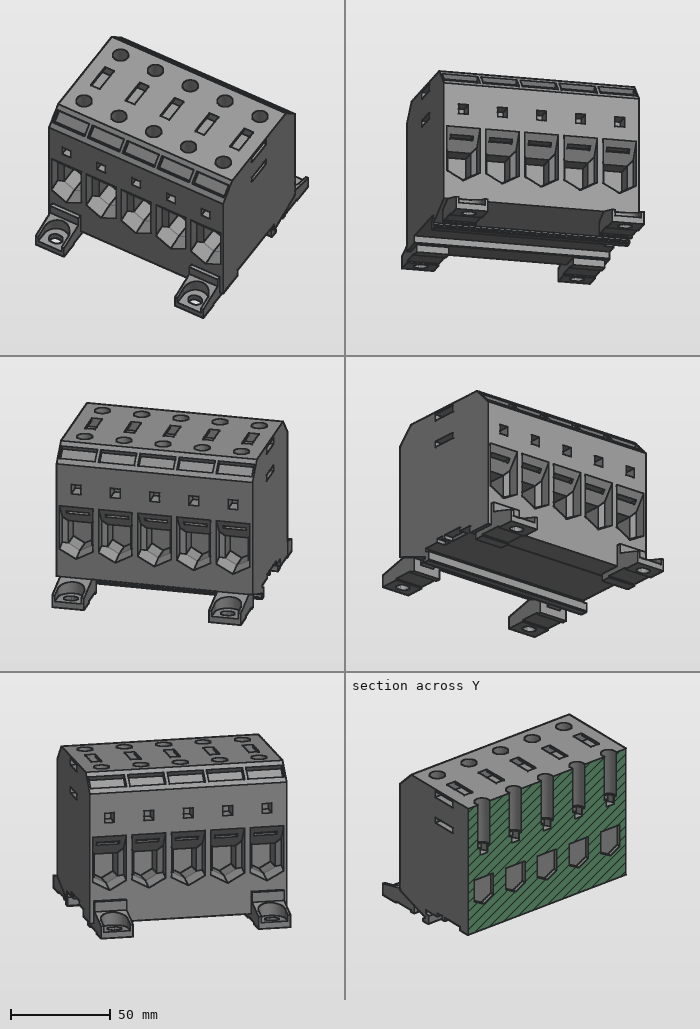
import cadquery as cq


pole_count = 5
pole_pitch = 20.3
length = pole_count * pole_pitch
half_width = 35.4
height = 80.0
top_chamfer = 9.0
base_z = 3.8

seat_z = 7.7
seat_y_min = -20.8
seat_edge_bevel = 0.4
hook_inner_y = 12.2
hook_root_y = 14.8
hook_neck_y = 15.6
hook_neck_top_z = 3.5
hook_neck_bottom_z = 2.5
hook_tip_y = 17.0
hook_tip_z = 1.8
hook_bottom_z = 0.45
hook_edge_bevel = 0.5
hook_shoulder_z = 5.3
hook_root_z = 6.2
flank_z = 10.3

seat_notches = [(-12.7, -0.6), (1.5, 5.4)]
seat_notch_height = 2.1
seat_notch_depth = 5.0

foot_width = 16.5
foot_poles = [0, pole_count - 1]
foot_end_y = 51.7
foot_end_z = 6.4
foot_relief_depth = 0.85
front_foot_inner_y = 23.0
front_foot_relief = (28.5, 41.5)
rear_foot_inner_y = 26.4
rear_foot_relief = (29.1, 40.7)
upstand_y = 37.5
upstand_z = 15.4
gusset_width = 8.0
gusset_tip_y = 23.5
gusset_tip_z = 5.8
gusset_low_z = 4.5
screw_seat_z = 3.3
screw_seat_radius = 6.85
screw_from_end = 6.0
screw_slot_length = 7.2
screw_slot_width = 5.8

bridge_slot_width = 14.2
bridge_slots = [(75.3, 3.5), (60.75, 3.1)]

top_window_width = 5.3
top_window_depth = height - bridge_slots[0][0]
screw_hole_y = 18.0
screw_hole_diameter = 7.9
screw_hole_depth = 25.0
hex_across_corners = 6.1
hex_depth = 4.0

label_length = 18.5
label_width = 6.8
label_depth = 2.65
label_draft = 0.5
label_mid_z = 75.6

test_hole_size = 5.0
test_hole_z = 58.05
test_hole_depth = 8.0

entry_width = 17.3
entry_top_z = 48.5
entry_apex_z = 20.5
entry_v_slope = 0.543
mouth_depth = 8.0
mouth_straight_depth = 6.0
chamber_width = 12.0
chamber_top_z = 37.6
chamber_apex_z = 22.3
chamber_depth = 18.0
entry_slit_width = 11.7
entry_slit_height = 1.8
entry_slit_z = 44.1
entry_slit_depth = 8.0


def pole_center(index):
    return (index + 0.5) * pole_pitch - length / 2


def box(x_size, y_range, z_range, x_center=0.0):
    y_low, y_high = y_range
    z_low, z_high = z_range
    return (
        cq.Workplane("XY")
        .box(x_size, y_high - y_low, z_high - z_low)
        .translate((x_center, (y_low + y_high) / 2, (z_low + z_high) / 2))
    )


def extrude_along_x(points, x_size, x_center=0.0):
    """Extrude a (Y, Z) outline along X, centred on x_center."""
    return (
        cq.Workplane("YZ")
        .polyline(points)
        .close()
        .extrude(x_size / 2, both=True)
        .translate((x_center, 0, 0))
    )


def on_both_sides(front):
    """Return a front-side tool together with its mirror on the +Y side."""
    return front.add(front.mirror("XZ").vals()).combine()


def housing():
    chamfer_y = half_width - top_chamfer
    chamfer_z = height - top_chamfer
    outline = [
        (-half_width, base_z),
        (-half_width, chamfer_z),
        (-chamfer_y, height),
        (chamfer_y, height),
        (half_width, chamfer_z),
        (half_width, flank_z),
        (hook_neck_y, hook_neck_top_z),
        (hook_neck_y, hook_neck_bottom_z),
        (hook_tip_y, hook_tip_z),
        (hook_tip_y, hook_bottom_z + hook_edge_bevel),
        (hook_tip_y - hook_edge_bevel, hook_bottom_z),
        (hook_inner_y + hook_edge_bevel, hook_bottom_z),
        (hook_inner_y, hook_bottom_z + hook_edge_bevel),
        (hook_inner_y, hook_shoulder_z),
        (hook_root_y, hook_root_z),
        (hook_root_y, seat_z),
        (seat_y_min, seat_z),
        (seat_y_min, base_z + seat_edge_bevel),
        (seat_y_min - seat_edge_bevel, base_z),
    ]
    return extrude_along_x(outline, length)


def front_foot(x):
    outline = [
        (-front_foot_inner_y, 0),
        (-front_foot_inner_y, base_z),
        (-half_width, base_z),
        (-half_width, upstand_z),
        (-upstand_y, upstand_z),
        (-upstand_y, flank_z),
        (-foot_end_y, foot_end_z),
        (-foot_end_y, 0),
    ]
    foot = extrude_along_x(outline, foot_width, x)
    near, far = front_foot_relief
    return foot.cut(box(foot_width, (-far, -near), (0, foot_relief_depth), x))


def rear_foot(x):
    """Rear foot under the sloping flank, with a narrower gusset on its inner end."""
    flank_slope = (flank_z - hook_neck_top_z) / (half_width - hook_neck_y)

    def flank_at(y):
        return flank_z - flank_slope * (half_width - y)

    foot_outline = [
        (foot_end_y, 0),
        (foot_end_y, foot_end_z),
        (half_width, flank_z),
        (rear_foot_inner_y, flank_at(rear_foot_inner_y)),
        (rear_foot_inner_y, 0),
    ]
    gusset_outline = [
        (rear_foot_inner_y, gusset_low_z),
        (rear_foot_inner_y, flank_at(rear_foot_inner_y)),
        (gusset_tip_y, flank_at(gusset_tip_y)),
        (gusset_tip_y, gusset_tip_z),
    ]
    gusset = extrude_along_x(gusset_outline, gusset_width, x)
    foot = extrude_along_x(foot_outline, foot_width, x).union(gusset)
    near, far = rear_foot_relief
    return foot.cut(box(foot_width, (near, far), (0, foot_relief_depth), x))


def foot_screw_seats(x):
    """Open-ended round seat and elongated screw hole in both feet of a pole."""
    seat_y = -foot_end_y + screw_from_end
    seat_height = flank_z - screw_seat_z
    seat = (
        cq.Workplane("XY", origin=(x, seat_y, screw_seat_z))
        .circle(screw_seat_radius)
        .extrude(seat_height)
    )
    seat_opening = box(2 * screw_seat_radius, (-foot_end_y, seat_y), (screw_seat_z, flank_z), x)
    screw_hole = (
        cq.Workplane("XY", origin=(x, seat_y, 0))
        .slot2D(screw_slot_length, screw_slot_width)
        .extrude(flank_z)
    )
    return on_both_sides(seat.union(seat_opening).union(screw_hole))


def seat_notch(y_range):
    notch_center = (seat_notch_depth - length) / 2
    return box(seat_notch_depth, y_range, (seat_z, seat_z + seat_notch_height), notch_center)


def bridge_slot(bottom_z, slot_height):
    half_slot = bridge_slot_width / 2
    return box(length, (-half_slot, half_slot), (bottom_z, bottom_z + slot_height))


def top_window(x):
    half_window = bridge_slot_width / 2
    return box(top_window_width, (-half_window, half_window), (height - top_window_depth, height), x)


def screw_holes(x):
    hole = (
        cq.Workplane("XY", origin=(x, -screw_hole_y, height))
        .circle(screw_hole_diameter / 2)
        .extrude(-screw_hole_depth)
        .faces("<Z")
        .workplane()
        .polygon(6, hex_across_corners)
        .extrude(hex_depth)
    )
    return on_both_sides(hole)


def label_pockets(x):
    """Pockets sunk into the 45 degree chamfer faces, narrowing towards the floor."""
    label_mid_y = -half_width + label_mid_z - (height - top_chamfer)
    half_mouth = label_width / 2
    half_floor = half_mouth - label_draft
    outline = [
        (-half_mouth, label_depth),
        (-half_mouth, 0),
        (-half_floor, -label_depth),
        (half_floor, -label_depth),
        (half_mouth, 0),
        (half_mouth, label_depth),
    ]
    pocket = (
        extrude_along_x(outline, label_length)
        .rotate((0, 0, 0), (1, 0, 0), 45)
        .translate((x, label_mid_y, label_mid_z))
    )
    return on_both_sides(pocket)


def test_holes(x):
    half_size = test_hole_size / 2
    y_range = (-half_width, -half_width + test_hole_depth)
    z_range = (test_hole_z - half_size, test_hole_z + half_size)
    return on_both_sides(box(test_hole_size, y_range, z_range, x))


def v_bottom_points(width, top_z, apex_z):
    """Flat-topped outline in (X, Z) whose bottom is a shallow V."""
    half = width / 2
    shoulder_z = apex_z + half * entry_v_slope
    return [(-half, top_z), (half, top_z), (half, shoulder_z), (0, apex_z), (-half, shoulder_z)]


def wire_entries(x):
    half_entry = entry_width / 2
    half_chamber = chamber_width / 2
    mouth = (
        cq.Workplane("XZ")
        .polyline(v_bottom_points(entry_width, entry_top_z, entry_apex_z))
        .close()
        .workplane(offset=-mouth_depth)
        .polyline(v_bottom_points(entry_width, chamber_top_z, chamber_apex_z))
        .close()
        .loft(ruled=True)
    )
    plan = (
        cq.Workplane("XY")
        .moveTo(-half_entry, 0)
        .lineTo(half_entry, 0)
        .lineTo(half_entry, mouth_straight_depth)
        .lineTo(half_chamber, mouth_depth)
        .lineTo(-half_chamber, mouth_depth)
        .lineTo(-half_entry, mouth_straight_depth)
        .close()
        .extrude(height)
    )
    chamber = (
        cq.Workplane("XZ", origin=(0, mouth_depth, 0))
        .polyline(v_bottom_points(chamber_width, chamber_top_z, chamber_apex_z))
        .close()
        .extrude(mouth_depth - chamber_depth)
    )
    half_slit = entry_slit_height / 2
    slit = box(
        entry_slit_width, (0, entry_slit_depth), (entry_slit_z - half_slit, entry_slit_z + half_slit)
    )
    entry = mouth.intersect(plan).union(chamber).union(slit)
    return on_both_sides(entry.translate((x, -half_width, 0)))


result = housing()

for foot_pole in foot_poles:
    foot_x = pole_center(foot_pole)
    result = result.union(front_foot(foot_x)).union(rear_foot(foot_x))
    result = result.cut(foot_screw_seats(foot_x))

for notch_range in seat_notches:
    result = result.cut(seat_notch(notch_range))

for slot_bottom_z, slot_height in bridge_slots:
    result = result.cut(bridge_slot(slot_bottom_z, slot_height))

for pole in range(pole_count):
    pole_x = pole_center(pole)
    for opening in (top_window, screw_holes, label_pockets, test_holes, wire_entries):
        result = result.cut(opening(pole_x))